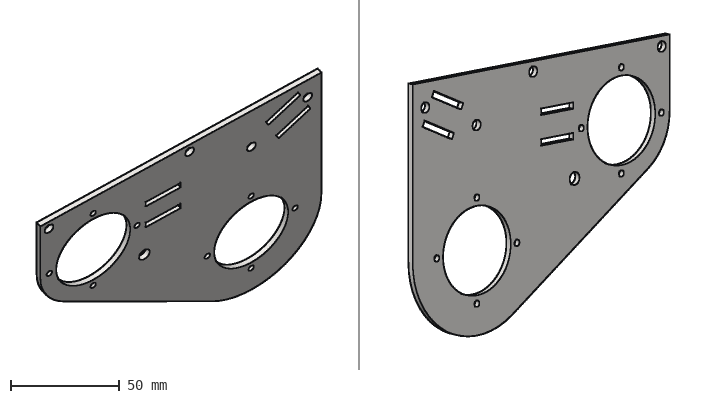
import cadquery as cq
import math

thickness = 3.0
length = 160.0
height = 124.0
rear = length / 2
front = -length / 2
top = height / 2
bottom = -height / 2

large_radius = 40.0
small_radius = 30.0
small_center_drop = 36.0
large_center = (rear - large_radius, bottom + large_radius)
small_center = (front + small_radius, top - small_center_drop)

opening_diameter = 42.0
screw_ring_radius = 25.0
screw_diameter = 3.0
screw_count = 4

mount_diameter = 5.0
mount_places = [(7.8, 12.0), (39.8, 25.0), (75.0, 5.0), (155.0, 5.0)]
pivot_diameter = 6.0
pivot_place = (100.8, 59.0)

slot_length = 20.0
slot_width = 3.0
slot_tilt = 25.0
level_slots = [(90.0, 24.6), (90.0, 39.0)]
tilted_slots = [(21.8, 10.5), (16.0, 23.7)]


def plate_point(from_rear, below_top):
    """Turn distances from the rear and top edges into (y, z)."""
    return (rear - from_rear, top - below_top)


def on_circle(center, radius, angle):
    return (center[0] + radius * math.cos(angle), center[1] + radius * math.sin(angle))


def make_plate():
    dy = large_center[0] - small_center[0]
    dz = large_center[1] - small_center[1]
    normal = math.atan2(dz, dy) - math.acos((small_radius - large_radius) / math.hypot(dy, dz))
    return (
        cq.Workplane("YZ", origin=(-thickness / 2, 0, 0))
        .moveTo(rear, top)
        .lineTo(rear, large_center[1])
        .threePointArc(
            on_circle(large_center, large_radius, normal / 2),
            on_circle(large_center, large_radius, normal),
        )
        .lineTo(*on_circle(small_center, small_radius, normal))
        .threePointArc(
            on_circle(small_center, small_radius, (normal - math.pi) / 2),
            (front, small_center[1]),
        )
        .lineTo(front, top)
        .close()
        .extrude(thickness)
    )


def round_cutter(places, diameter):
    near_face = cq.Workplane("YZ", origin=(-thickness / 2, 0, 0))
    return near_face.pushPoints(places).circle(diameter / 2).extrude(thickness)


def cut_slot(plate, place, tilt):
    y, z = plate_point(*place)
    slot = cq.Workplane("XY").box(2 * thickness, slot_length, slot_width)
    return plate.cut(slot.rotate((0, 0, 0), (1, 0, 0), tilt).translate((0, y, z)))


result = make_plate()

for center in (large_center, small_center):
    screw_places = [
        on_circle(center, screw_ring_radius, 2 * math.pi * i / screw_count) for i in range(screw_count)
    ]
    result = result.cut(round_cutter([center], opening_diameter))
    result = result.cut(round_cutter(screw_places, screw_diameter))

result = result.cut(round_cutter([plate_point(*place) for place in mount_places], mount_diameter))
result = result.cut(round_cutter([plate_point(*pivot_place)], pivot_diameter))
for place in level_slots:
    result = cut_slot(result, place, 0)
for place in tilted_slots:
    result = cut_slot(result, place, slot_tilt)